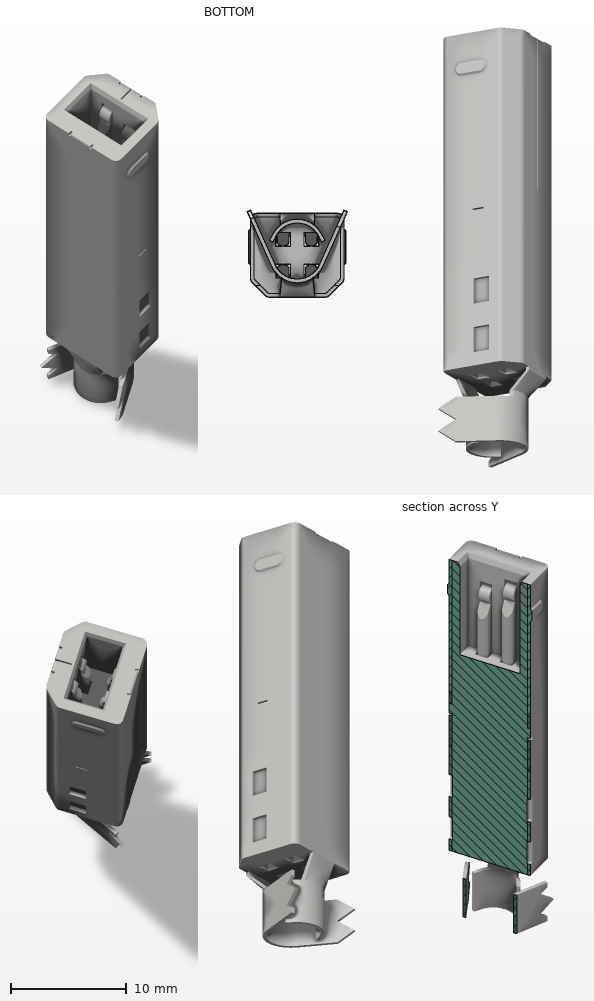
import cadquery as cq
import math

top_z = 36.8
shell_bottom_z = 6.48
overlap = 0.35

plug_width = 8.1
back_y = 3.75
front_y = -3.5
key_chamfer = 1.45
corner_radius = 0.6
sheet = 0.33

upper_shell_bottom_z = 19.5
flap_top_z = 23.05
flap_front_y = -0.95
cover_front_y = 2.72
flap_slope_top_z = 18.45

tab_width = 2.15
tab_length = 1.55
tab_corner_radius = 0.25
tab_bend_radius = 0.22
relief_width = 0.2
relief_depth = 0.33
seam_width = 0.15

bump_length, bump_height, bump_rise = 3.05, 1.25, 0.15
bump_taper = 45.0
bump_y, bump_z = -0.6, 33.65
latch_width, latch_height = 1.05, 1.18
latch_y, latch_z = 0.1, 21.2
latch_gap = 0.15
window_width, window_height = 1.5, 2.3
window_y = 0.45
window_levels = (8.85, 13.25)

socket_width, socket_depth_y = 5.9, 3.28
socket_y = 0.13
socket_depth = 9.55
lead_in, lead_in_depth = 0.22, 0.45
contact_pitch = 2.43
slot_width = 1.25
slot_reach = 0.85
slot_recess = 0.33
slot_headroom = 0.5
contact_width = 1.03
contact_bow = 0.3
contact_bottom_z = 8.1
short_tip_z = 33.85
long_tip_z = 34.85
nose_drop, nose_reach = 1.1, 0.35
crown_drop, crown_reach = 0.35, 0.25
step_drop, step_reach = 1.47, 0.15
belly_drop = 2.75

barrel_height = 4.05
barrel_radius = 2.43
barrel_center_y = 0.07
wing_angle = 24.2
wing_root, wing_mid, wing_tip = 3.65, 4.45, 5.15
tooth_steps = 4
sleeve_bottom_z = 0.1
sleeve_top_z = 4.12
sleeve_radius = 2.35
sleeve_center_y = -0.63
sleeve_flank_angle = 30.0
sleeve_flank_length = 0.75

strap_half_width = 1.5
sleeve_strap_half_width = 1.45
barrel_strap_half_width = 1.32
strap_bend_z = 6.2
strap_end_z = 4.67

half_width = plug_width / 2
wall_offset = socket_depth_y / 2
tooth_pitch = barrel_height / tooth_steps


def box(x0, x1, y0, y1, z0, z1):
    return cq.Workplane("XY").box(x1 - x0, y1 - y0, z1 - z0, centered=False).translate((x0, y0, z0))


def plug_prism(inset, z0, z1):
    """Keyed plug section, moved inward by inset, between two heights."""
    side = half_width - inset
    front = front_y + inset
    back = back_y - inset
    chamfer = key_chamfer - inset * (2 - math.sqrt(2))
    outline = [
        (-side, front),
        (side, front),
        (side, back - chamfer),
        (side - chamfer, back),
        (chamfer - side, back),
        (-side, back - chamfer),
    ]
    prism = cq.Workplane("XY").workplane(offset=z0).polyline(outline).close().extrude(z1 - z0)
    return prism.edges("|Z").fillet(corner_radius - inset)


def tube(z0, z1):
    """Sheet metal shell around the plug section."""
    return plug_prism(0, z0, z1).cut(plug_prism(sheet, z0, z1))


def cover_zone():
    """Block holding everything that belongs to the back cover."""
    outline = [
        (cover_front_y, shell_bottom_z),
        (cover_front_y, flap_slope_top_z - (cover_front_y - flap_front_y)),
        (flap_front_y, flap_slope_top_z),
        (flap_front_y, flap_top_z),
        (back_y + overlap, flap_top_z),
        (back_y + overlap, shell_bottom_z),
    ]
    return cq.Workplane("YZ").polyline(outline).close().extrude(half_width + overlap, both=True)


def side_windows():
    """Rectangular openings through both side walls."""
    windows = cq.Workplane("XY")
    for z in window_levels:
        windows = windows.union(
            cq.Workplane("XY").box(plug_width, window_width, window_height).translate((0, window_y, z))
        )
    return windows.cut(plug_prism(sheet, shell_bottom_z, top_z))


def latches(height):
    """Side blocks as thick as the shell wall, hanging from the top of the latch opening."""
    center_z = latch_z + (latch_height - height) / 2
    bar = cq.Workplane("XY").box(plug_width, latch_width, height).translate((0, latch_y, center_z))
    return bar.cut(plug_prism(sheet, shell_bottom_z, top_z))


def tab_block(facing):
    """Folded tab lying in the top plane; facing is +1 at the back and -1 at the front."""
    outer = back_y if facing > 0 else front_y
    inner = outer - facing * tab_length
    half = tab_width / 2
    block = box(-half, half, min(inner, outer), max(inner, outer), top_z - sheet, top_z)
    inner_edges = block.faces("<Y" if facing > 0 else ">Y").edges("|Z")
    return inner_edges.fillet(tab_corner_radius)


def bent_band_wire(center_y, radius, half, facing, z):
    """Closed section of a curved sheet that spans X from -half to half."""
    corners = []
    for surface_radius in (radius, radius - sheet):
        for x in (-half, 0, half):
            y = center_y + facing * math.sqrt(surface_radius**2 - x**2)
            corners.append(cq.Vector(x, y, z))
    return cq.Wire.assembleEdges([
        cq.Edge.makeThreePointArc(*corners[0:3]),
        cq.Edge.makeLine(corners[2], corners[5]),
        cq.Edge.makeThreePointArc(*reversed(corners[3:6])),
        cq.Edge.makeLine(corners[3], corners[0]),
    ])


def flat_strap_wire(outer, facing, z):
    """Closed section of the flat strap where it leaves the shell wall."""
    inner = outer - facing * sheet
    corners = [
        cq.Vector(-strap_half_width, outer, z),
        cq.Vector(strap_half_width, outer, z),
        cq.Vector(strap_half_width, inner, z),
        cq.Vector(-strap_half_width, inner, z),
    ]
    return cq.Wire.makePolygon(corners, close=True)


def strap(outer, center_y, radius, end_half_width, facing, z_flat, z_arc):
    """Strap that changes from a flat section to the curvature of the barrel or sleeve."""
    flat = flat_strap_wire(outer, facing, z_flat)
    curved = bent_band_wire(center_y, radius, end_half_width, facing, z_arc)
    return cq.Workplane(cq.Solid.makeLoft([flat, curved], True))


def curved_wall(center_y, radius, flank_angle, facing, z0, z1):
    """Round part of a barrel, bulging along facing and ending where its flanks start."""
    sine = math.sin(math.radians(flank_angle))
    cosine = math.cos(math.radians(flank_angle))
    inner = radius - sheet

    def at(r, side):
        return (side * r * cosine, center_y + facing * r * sine)

    return (
        cq.Workplane("XY")
        .workplane(offset=z0)
        .moveTo(*at(radius, -1))
        .threePointArc((0, center_y + facing * radius), at(radius, 1))
        .lineTo(*at(inner, 1))
        .threePointArc((0, center_y + facing * inner), at(inner, -1))
        .close()
        .extrude(z1 - z0)
    )


def flank(center_y, radius, flank_angle, facing, side, outline):
    """Flat plate tangent to a curved wall; outline gives (length along plate, Z) points."""
    sine = math.sin(math.radians(flank_angle))
    cosine = math.cos(math.radians(flank_angle))
    start = (side * radius * cosine, center_y + facing * radius * sine, 0)
    along = cq.Vector(side * sine, -facing * cosine, 0)
    normal = along.cross(cq.Vector(0, 0, 1))
    plane = cq.Plane(origin=start, xDir=along, normal=normal)
    return cq.Workplane(plane).polyline(outline).close().extrude(facing * side * sheet)


def upper_shell():
    shell = tube(upper_shell_bottom_z, top_z).cut(cover_zone())
    relief_half = tab_width / 2 + relief_width
    for facing, outer in ((1, back_y), (-1, front_y)):
        inner = outer - facing * sheet
        y0, y1 = min(inner, outer), max(inner, outer)
        shell = shell.cut(box(-relief_half, relief_half, y0, y1, top_z - relief_depth, top_z))
        tab = tab_block(facing)
        bend_edge = tab.faces(">Y" if facing > 0 else "<Y").edges(">Z")
        shell = shell.union(bend_edge.fillet(tab_bend_radius))
    shell = shell.cut(
        box(-seam_width / 2, seam_width / 2, back_y - tab_length, back_y, upper_shell_bottom_z, top_z)
    )
    for side in (-1, 1):
        bump = (
            cq.Workplane(cq.Plane((side * half_width, bump_y, bump_z), (0, 1, 0), (side, 0, 0)))
            .slot2D(bump_length, bump_height)
            .extrude(bump_rise, taper=bump_taper)
        )
        shell = shell.union(bump)
    return shell


def front_shell():
    shell = tube(shell_bottom_z, upper_shell_bottom_z).cut(cover_zone()).cut(side_windows())
    sleeve = (sleeve_center_y, sleeve_radius)
    shell = shell.union(strap(front_y, *sleeve, sleeve_strap_half_width, -1, shell_bottom_z, sleeve_top_z))
    shell = shell.union(curved_wall(*sleeve, sleeve_flank_angle, -1, sleeve_bottom_z, sleeve_top_z))
    outline = [
        (0, sleeve_bottom_z),
        (sleeve_flank_length, sleeve_bottom_z),
        (sleeve_flank_length, sleeve_top_z),
        (0, sleeve_top_z),
    ]
    for side in (-1, 1):
        shell = shell.union(flank(*sleeve, sleeve_flank_angle, -1, side, outline))
    return shell


def wing_outline(side):
    """Toothed wing edge: teeth of the two wings are staggered so that they interlock."""
    points = [(0, 0)]
    if side > 0:
        for step in range(tooth_steps + 1):
            points.append((wing_tip if step % 2 else wing_root, step * tooth_pitch))
    else:
        points.append((wing_mid, 0))
        points.append((wing_mid, tooth_pitch / 2))
        for step in range(1, tooth_steps):
            points.append((wing_root if step % 2 else wing_tip, step * tooth_pitch))
        points.append((wing_mid, barrel_height - tooth_pitch / 2))
        points.append((wing_mid, barrel_height))
    points.append((0, barrel_height))
    return points


def back_cover():
    cover = tube(shell_bottom_z, flap_top_z).intersect(cover_zone()).cut(latches(latch_height))
    barrel = (barrel_center_y, barrel_radius)
    cover = cover.union(
        box(-strap_half_width, strap_half_width, back_y - sheet, back_y, strap_bend_z, shell_bottom_z)
    )
    cover = cover.union(strap(back_y, *barrel, barrel_strap_half_width, 1, strap_bend_z, strap_end_z))
    strap_end = cq.Solid.extrudeLinear(
        bent_band_wire(*barrel, barrel_strap_half_width, 1, barrel_height),
        [],
        cq.Vector(0, 0, strap_end_z - barrel_height),
    )
    cover = cover.union(cq.Workplane(strap_end))
    cover = cover.union(curved_wall(*barrel, wing_angle, 1, 0, barrel_height))
    for side in (-1, 1):
        cover = cover.union(flank(*barrel, wing_angle, 1, side, wing_outline(side)))
    return cover


def contact_slot(x, facing, tip_z):
    """Slot in and in front of the socket wall; it runs down through the whole insulator."""
    wall = socket_y + facing * wall_offset
    ends = (wall - facing * slot_reach, wall + facing * slot_recess)
    half = slot_width / 2
    return box(x - half, x + half, min(ends), max(ends), shell_bottom_z, tip_z + slot_headroom)


def contact(x, facing, tip_z):
    """Contact blade with a bowed face, a rounded nose and a sloping belly below it."""
    wall = socket_y + facing * wall_offset
    back = wall + facing * slot_recess
    face = wall - facing * slot_reach
    shoulder = face + facing * contact_bow
    half = contact_width / 2
    blade = (
        cq.Workplane("XY")
        .workplane(offset=contact_bottom_z)
        .moveTo(x - half, back)
        .lineTo(x - half, shoulder)
        .threePointArc((x, face), (x + half, shoulder))
        .lineTo(x + half, back)
        .close()
        .extrude(tip_z - contact_bottom_z)
    )
    side_profile = (
        cq.Workplane("YZ")
        .workplane(offset=x - half)
        .moveTo(back, contact_bottom_z)
        .lineTo(face, contact_bottom_z)
        .lineTo(face, tip_z - belly_drop)
        .lineTo(wall - facing * step_reach, tip_z - step_drop)
        .lineTo(wall - facing * nose_reach, tip_z - nose_drop)
        .threePointArc((wall - facing * crown_reach, tip_z - crown_drop), (back, tip_z))
        .close()
        .extrude(contact_width)
    )
    return blade.intersect(side_profile)


contact_places = [
    (side * contact_pitch / 2, facing, short_tip_z if side > 0 else long_tip_z)
    for side in (-1, 1)
    for facing in (-1, 1)
]


def insulator_body():
    body = plug_prism(sheet, shell_bottom_z, top_z)
    socket = (
        cq.Workplane("XY")
        .workplane(offset=top_z - socket_depth)
        .center(0, socket_y)
        .rect(socket_width, socket_depth_y)
        .extrude(socket_depth)
    )
    mouth = (
        cq.Workplane("XY")
        .workplane(offset=top_z)
        .center(0, socket_y)
        .rect(socket_width + 2 * lead_in, socket_depth_y + 2 * lead_in)
        .workplane(offset=-lead_in_depth)
        .rect(socket_width, socket_depth_y)
        .loft(ruled=True)
    )
    body = body.cut(socket).cut(mouth)
    for facing in (-1, 1):
        body = body.cut(tab_block(facing))
    for place in contact_places:
        body = body.cut(contact_slot(*place))
    return body.union(latches(latch_height - latch_gap))


shell_top = upper_shell()
shell_front = front_shell()
cover_back = back_cover()
insulator = insulator_body()
contacts = [contact(*place).val() for place in contact_places]

result = cq.Compound.makeCompound(
    [shell_top.val(), shell_front.val(), cover_back.val(), insulator.val(), *contacts]
)